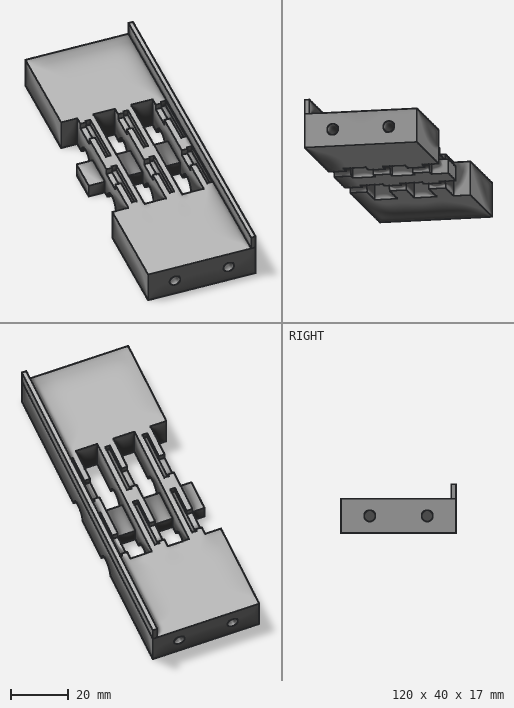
import cadquery as cq

length = 120.0
depth = length / 3
height = 12.0

lip_thickness = 1.7
lip_height = 5.0

bay_length = 50.0
bay_left = (length - bay_length) / 2
rib_thickness = 6.0
rib_count = 3
front_opening = 6.0
window_depth = (depth - front_opening - rib_count * rib_thickness) / (rib_count - 1)
rib_pitch = rib_thickness + window_depth
rib_fronts = [front_opening + i * rib_pitch for i in range(rib_count)]

bar_left = 50.0
bar_width = 12.0
bar_height = 5.0

station_pitch = 25.5
slot_length = depth / 2
slot_left = (length - station_pitch - slot_length) / 2
slot_width = 1.8
slot_setback = 2.2
slot_depth = 2.3
notch_left = 38.0
notch_length = 8.5
notch_depth = 2.2
arch_center = 43.1
arch_radius = 4.0
station_offsets = [0, station_pitch]

hole_diameter = 4.0
hole_depth = 12.0
hole_spread = depth / 2


def box(x, y, z, dx, dy, dz):
    """Box from its lower left front corner and its sizes."""
    return cq.Workplane("XY").box(dx, dy, dz, centered=False).translate((x, y, z))


def openings():
    """Front opening and the windows behind it, clear above and beside the tie bar."""
    cutters = box(bay_left, 0, 0, bay_length, front_opening, height)
    for rib_front in rib_fronts[:-1]:
        cutters = cutters.union(
            box(bay_left, rib_front + rib_thickness, 0, bay_length, window_depth, height)
        )
    return cutters.cut(box(bar_left, 0, 0, bar_width, depth, bar_height))


def card_slot(rib_front, offset):
    """Slot in the top of a rib, with a notch opening it to the front."""
    slot = box(
        slot_left + offset, rib_front + slot_setback, height - slot_depth,
        slot_length, slot_width, slot_depth,
    )
    notch = box(
        notch_left + offset, rib_front, height - notch_depth,
        notch_length, slot_setback, notch_depth,
    )
    return slot.union(notch)


def arch(offset):
    """Half-round channel along the underside from front to rear."""
    return (
        cq.Workplane("XZ")
        .center(arch_center + offset, 0)
        .circle(arch_radius)
        .extrude(-depth)
    )


def end_holes():
    """Pair of blind screw holes in each end."""
    one_end = (
        cq.Workplane("YZ")
        .center(depth / 2, height / 2)
        .rarray(hole_spread, 1.2, 2, 1)
        .circle(hole_diameter / 2)
        .extrude(hole_depth)
    )
    return one_end.union(one_end.translate((length - hole_depth, 0, 0)))


def make_block():
    """Block with its bay, end holes, channels and card slots cut out."""
    body = box(0, 0, 0, length, depth, height).cut(openings()).cut(end_holes())
    for offset in station_offsets:
        body = body.cut(arch(offset))
        for rib_front in rib_fronts:
            body = body.cut(card_slot(rib_front, offset))
    return body


def make_lip():
    """Strip on the block's top face, flush with its rear face."""
    return box(0, depth - lip_thickness, height, length, lip_thickness, lip_height)


block = make_block()
lip = make_lip()
result = cq.Compound.makeCompound([block.val(), lip.val()])